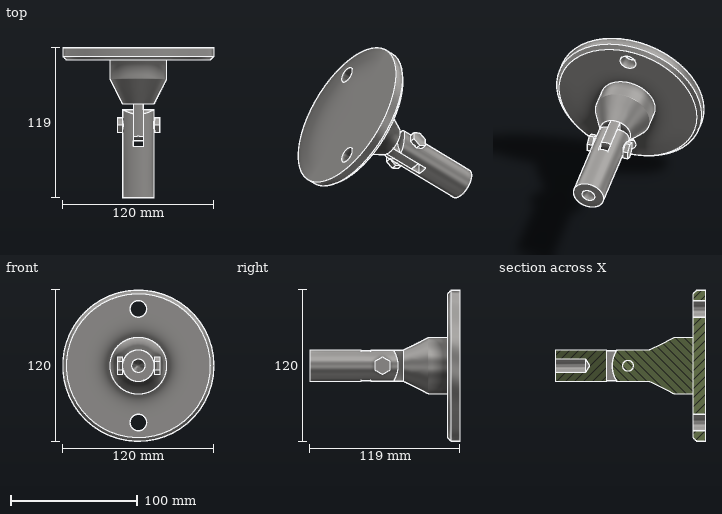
import cadquery as cq
import math


flange_diameter = 120.0
flange_thickness = 10.0
flange_chamfer = 3.0
bolt_hole_diameter = 13.0
bolt_hole_spacing = 90.0

boss_diameter = 45.0
boss_length = 15.0
hub_fillet = 1.0
cone_length = 19.8

rod_diameter = 25.1
rod_length = 70.0
total_length = 119.0
tongue_width = 7.8
tongue_length = 29.3
slot_depth = 29.3
hinge_end_radius = boss_diameter / 2

bore_diameter = 10.5
bore_depth = 24.0
bore_tip_angle = 118.0

pin_diameter = 8.0
pin_setback = 12.4
head_across_flats = 12.0
head_thickness = 4.1
head_clearance = 0.4

flange_front = -flange_thickness
boss_front = flange_front - boss_length
cone_front = boss_front - cone_length
tongue_tip = cone_front - tongue_length
rod_end = -total_length
rod_start = rod_end + rod_length
slot_floor = rod_start - slot_depth
pin_y = rod_start - pin_setback

left_head_x = -rod_diameter / 2
right_head_x = rod_diameter / 2 + head_clearance


def axial_cylinder(diameter, start, length):
    """Cylinder on the common axis, running from Y = start towards -Y."""
    plane = cq.Workplane("XZ", origin=(0, start, 0))
    return plane.circle(diameter / 2).extrude(length)


def cross_cylinder(diameter, length, center_y):
    """Cylinder parallel to X and centred on X = 0, with its axis at Y = center_y."""
    plane = cq.Workplane("YZ")
    return plane.center(center_y, 0).circle(diameter / 2).extrude(length / 2, both=True)


def centred_slab(width, rear, front):
    """Slab of the given X width between two Y positions, taller than the rod."""
    height = 2 * rod_diameter
    return cq.Workplane("XY").box(width, rear - front, height).translate((0, (rear + front) / 2, 0))


def make_flange():
    """Round plate with a chamfered front rim and two bolt holes."""
    plate = axial_cylinder(flange_diameter, 0, flange_thickness)
    plate = plate.faces("<Y").chamfer(flange_chamfer)
    holes = cq.Workplane("XZ").rarray(1.2, bolt_hole_spacing, 1, 2).circle(bolt_hole_diameter / 2)
    return plate.cut(holes.extrude(flange_thickness))


def make_hub():
    """Boss and cone narrowing to the rod diameter, with a round-nosed tongue for the hinge."""
    boss = axial_cylinder(boss_diameter, flange_front, boss_length)
    cone_base = boss.faces("<Y").workplane().circle(boss_diameter / 2)
    hub = cone_base.workplane(offset=cone_length).circle(rod_diameter / 2).loft(ruled=True, combine=True)
    shoulder = cq.selectors.NearestToPointSelector((0, boss_front, 0))
    hub = hub.edges(shoulder).fillet(hub_fillet)

    tongue = axial_cylinder(rod_diameter, cone_front, tongue_length)
    tongue = tongue.intersect(centred_slab(tongue_width, cone_front, tongue_tip))
    nose_center = tongue_tip + hinge_end_radius
    nose = cross_cylinder(2 * hinge_end_radius, tongue_width, nose_center)
    tongue = tongue.intersect(nose)
    return hub.union(tongue).cut(make_pin())


def make_bore():
    """Drilled hole with a conical bottom, open at the free end of the rod."""
    radius = bore_diameter / 2
    tip_height = radius / math.tan(math.radians(bore_tip_angle / 2))
    shoulder = rod_end + bore_depth
    profile = cq.Workplane("XY").polyline(
        [(0, rod_end), (radius, rod_end), (radius, shoulder), (0, shoulder + tip_height)]
    )
    return profile.close().revolve(360, (0, 0, 0), (0, 1, 0))


def make_rod():
    """Round rod with a rounded, slotted hinge end and a blind hole in the free end."""
    rod = axial_cylinder(rod_diameter, rod_start, rod_length)
    arc_center = rod_start - hinge_end_radius
    rounded = cross_cylinder(2 * hinge_end_radius, rod_diameter, arc_center)
    rounded = rounded.union(centred_slab(rod_diameter, arc_center, rod_end))
    rod = rod.intersect(rounded)
    rod = rod.cut(centred_slab(tongue_width, rod_start, slot_floor))
    return rod.cut(make_pin()).cut(make_bore())


def make_pin():
    """Plain pin parallel to X that spans the gap between the inner faces of its heads."""
    plane = cq.Workplane("YZ", origin=(left_head_x, pin_y, 0))
    return plane.circle(pin_diameter / 2).extrude(right_head_x - left_head_x)


def make_head(inner_x, side):
    """Hexagonal head reaching outwards from X = inner_x; side is -1 or +1 along X."""
    across_corners = head_across_flats / math.cos(math.pi / 6)
    plane = cq.Workplane("YZ", origin=(inner_x, pin_y, 0))
    hexagon = plane.transformed(rotate=(0, 0, 90)).polygon(6, across_corners)
    return hexagon.extrude(side * head_thickness)


flange = make_flange()
hub = make_hub()
rod = make_rod()
pin = make_pin()
heads = [make_head(inner_x, side) for inner_x, side in ((left_head_x, -1), (right_head_x, 1))]

result = cq.Compound.makeCompound(
    [flange.val(), hub.val(), rod.val(), pin.val(), *[head.val() for head in heads]]
)